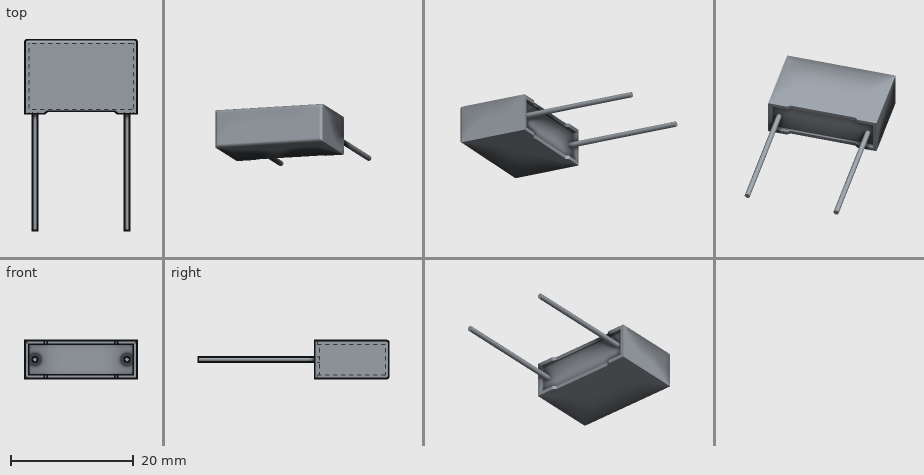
import cadquery as cq

overall_length = 31.1
case_width = 18.3
case_height = 6.22
case_depth = 12.1
wall = 0.62
back_edge_radius = 0.5

notch_margin = 3.17
notch_depth = 0.4
notch_run = 0.5

fill_recess = 0.75

lead_diameter = 0.87
lead_spacing = 15.0

lead_tip_y = case_depth - overall_length
cavity_width = case_width - 2 * wall
cavity_height = case_height - 2 * wall
cavity_end_y = case_depth - wall


def box_along_y(width, height, start_y, end_y):
    """Box centred on X and Z, running from start_y to end_y."""
    return cq.Workplane("XY").box(
        width, end_y - start_y, height, centered=(True, False, True)
    ).translate((0, start_y, 0))


def make_notch():
    """Trapezoidal cutter through both the top and bottom walls."""
    rim_half = case_width / 2 - notch_margin
    floor_half = rim_half - notch_run
    return (
        cq.Workplane("XY")
        .polyline([
            (-rim_half, 0),
            (rim_half, 0),
            (floor_half, notch_depth),
            (-floor_half, notch_depth),
        ])
        .close()
        .extrude(case_height / 2, both=True)
    )


def make_case():
    """Hollow case with a rounded back and a notched rim."""
    shell = box_along_y(case_width, case_height, 0, case_depth)
    shell = shell.faces(">Y").edges().fillet(back_edge_radius)
    cavity = box_along_y(cavity_width, cavity_height, 0, cavity_end_y)
    return shell.cut(cavity).cut(make_notch())


def make_fill():
    """Potting block that fills the cavity behind the recess."""
    return box_along_y(cavity_width, cavity_height, fill_recess, cavity_end_y)


def make_lead(x):
    """Round wire from its free tip to the outer face of the fill."""
    return (
        cq.Workplane("XZ", origin=(x, lead_tip_y, 0))
        .circle(lead_diameter / 2)
        .extrude(lead_tip_y - fill_recess)
    )


case = make_case()
fill = make_fill()
leads = [make_lead(side * lead_spacing / 2) for side in (-1, 1)]

result = cq.Compound.makeCompound(
    [case.val(), fill.val()] + [lead.val() for lead in leads]
)